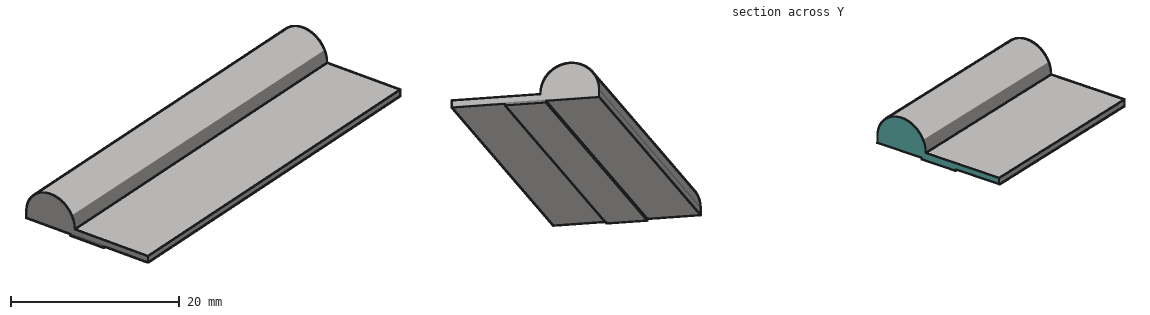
import cadquery as cq

length = 50.0
width = 18.0
bead_radius = 3.6
flange_thickness = 0.9
pad_width = 5.0
pad_height = 0.2
skin_thickness = 0.1

left = -width / 2
right = width / 2
front = -length / 2
bottom = pad_height / 2
flange_top = bottom + flange_thickness
bead_center = left + bead_radius
bead_right = left + 2 * bead_radius
bead_top = flange_top + bead_radius


def make_profile():
    """Cross-section of the flange and half-round bead, on the -Y end plane."""
    return (
        cq.Workplane("XZ", origin=(0, front, 0))
        .moveTo(left, bottom)
        .lineTo(right, bottom)
        .lineTo(right, flange_top)
        .lineTo(bead_right, flange_top)
        .threePointArc((bead_center, bead_top), (left, flange_top))
        .close()
    )


def make_body():
    """Skin and core, flush at both ends and fused with their shared border kept."""
    core = make_profile().offset2D(-skin_thickness).extrude(-length)
    skin = make_profile().extrude(-length).cut(core)
    return skin.union(core, clean=False)


def make_pad():
    """Full-length strip hanging below the flange."""
    pad = cq.Workplane("XY").box(pad_width, length, pad_height, centered=(True, True, False))
    return pad.translate((0, 0, bottom - pad_height))


result = make_body().union(make_pad(), clean=False)